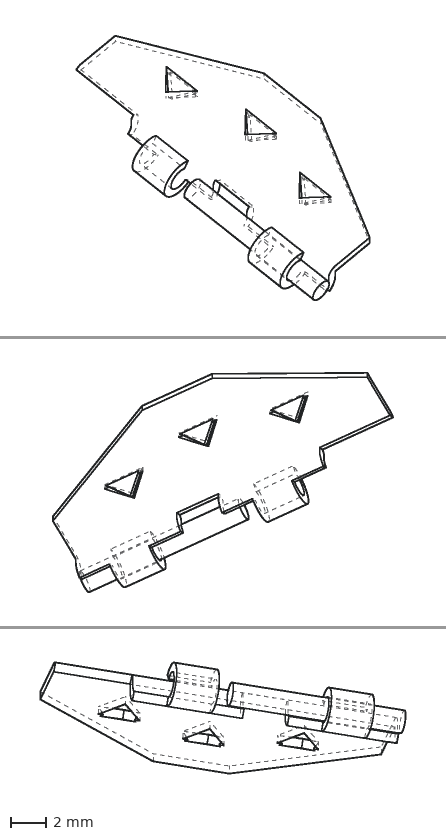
import cadquery as cq
import math

leaf_width = 20.0
sheet = 0.55
curl_outer = 1.256
curl_inner = curl_outer - sheet

plate_far_y = 8.09
shoulder_y = 4.06
far_edge_width = 4.46
plate_tilt = 1.5

bend_inner = 0.06
bend_outer = bend_inner + sheet
bend_y = curl_outer + bend_inner
bend_z = 0.45
plate_angle = 90 - plate_tilt
lip_angle = 135

tab_start = 4.48
slot_start = 10.93
slot_end = 13.57
tab_spans = [(tab_start, slot_start), (slot_end, leaf_width)]
tab_end_angle = -50
knuckle_width = 2.51
knuckle_starts = [6.5, 15.58]
knuckle_end_angle = -302

tooth_base = 2.41
tooth_length = 1.3
tooth_angle = 34
tooth_pitch = 5.25
middle_tooth_y = 5.57
side_tooth_y = 4.55

pin_radius = 0.66
pin_start = 9.99
pin_end = 20.1


def polar(center_y, center_z, radius, angle):
    """Point in the YZ plane at an angle in degrees from +Y."""
    a = math.radians(angle)
    return (center_y + radius * math.cos(a), center_z + radius * math.sin(a))


def arc_strip(center, inner, outer, start, end, x_start, x_end):
    """Curved strip of sheet between two angles, extruded along X."""
    middle = (start + end) / 2
    return (
        cq.Workplane("YZ", origin=(x_start, 0, 0))
        .moveTo(*polar(*center, outer, start))
        .threePointArc(polar(*center, outer, middle), polar(*center, outer, end))
        .lineTo(*polar(*center, inner, end))
        .threePointArc(polar(*center, inner, middle), polar(*center, inner, start))
        .close()
        .extrude(x_end - x_start)
    )


def bend(end_angle, x_start, x_end):
    return arc_strip((bend_y, bend_z), bend_inner, bend_outer, plate_angle, end_angle, x_start, x_end)


def curl(end_angle, x_start, x_end):
    return arc_strip((0, 0), curl_inner, curl_outer, 0, end_angle, x_start, x_end)


def riser(x_start, x_end):
    return cq.Workplane("XY").box(x_end - x_start, sheet, bend_z, centered=False).translate(
        (x_start, curl_inner, 0)
    )


plate_top_y, plate_top_z = polar(bend_y, bend_z, bend_outer, plate_angle)


def plate_top_at(y):
    """Height of the tilted upper plate face."""
    return plate_top_z - (y - plate_top_y) * math.tan(math.radians(plate_tilt))


def make_plate():
    bottom_y, bottom_z = polar(bend_y, bend_z, bend_inner, plate_angle)
    drop = sheet / math.cos(math.radians(plate_tilt))
    far_z = plate_top_at(plate_far_y)
    slab = (
        cq.Workplane("YZ")
        .polyline([
            (plate_top_y, plate_top_z),
            (plate_far_y, far_z),
            (plate_far_y, far_z - drop),
            (bottom_y, bottom_z),
        ])
        .close()
        .extrude(leaf_width)
    )
    corner_inset = (leaf_width - far_edge_width) / 2
    outline = (
        cq.Workplane("XY")
        .polyline([
            (0, 0),
            (leaf_width, 0),
            (leaf_width, shoulder_y),
            (leaf_width - corner_inset, plate_far_y),
            (corner_inset, plate_far_y),
            (0, shoulder_y),
        ])
        .close()
        .extrude(2 * curl_outer)
    )
    return slab.intersect(outline)


def triangle_prism(x, y, slope):
    """Triangle hinged on its base edge in the plate top, sloping down toward -Y."""
    prism = (
        cq.Workplane("XY")
        .polyline([(-tooth_base / 2, 0), (tooth_base / 2, 0), (0, -tooth_length)])
        .close()
        .extrude(-sheet)
    )
    return prism.rotate((0, 0, 0), (1, 0, 0), slope).translate((x, y, plate_top_at(y)))


def tooth_opening(x, y):
    return (
        cq.Workplane("XY")
        .polyline([(x - tooth_base / 2, y), (x + tooth_base / 2, y), (x, y - tooth_length)])
        .close()
        .extrude(2 * curl_outer)
    )


def make_leaf():
    leaf = make_plate()
    center_x = leaf_width / 2
    tooth_places = [
        (center_x - tooth_pitch, side_tooth_y),
        (center_x, middle_tooth_y),
        (center_x + tooth_pitch, side_tooth_y),
    ]
    for x, y in tooth_places:
        leaf = leaf.cut(tooth_opening(x, y)).union(triangle_prism(x, y, tooth_angle))

    leaf = leaf.union(bend(lip_angle, 0, leaf_width))
    for x_start, x_end in tab_spans:
        leaf = leaf.union(bend(180, x_start, x_end))
        leaf = leaf.union(riser(x_start, x_end))
        leaf = leaf.union(curl(tab_end_angle, x_start, x_end))
    for x_start in knuckle_starts:
        leaf = leaf.union(curl(knuckle_end_angle, x_start, x_start + knuckle_width))
    return leaf


def make_pin():
    return cq.Workplane("YZ", origin=(pin_start, 0, 0)).circle(pin_radius).extrude(pin_end - pin_start)


leaf = make_leaf()
pin = make_pin()
result = cq.Compound.makeCompound([leaf.solids().val(), pin.val()])